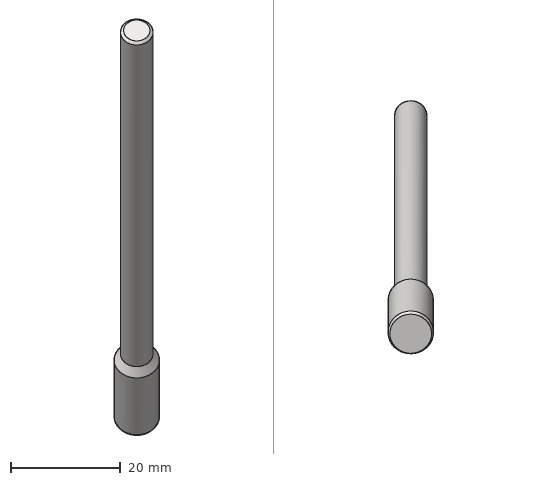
import cadquery as cq

total_length = 117.0
rod_diameter = 6.0
head_diameter = 8.3

head_cylinder_top = 17.8
shoulder_height = 1.9
head_length = head_cylinder_top + shoulder_height
bottom_chamfer_height = 0.7
bottom_chamfer_width = 0.4

tip_chamfer_height = 0.5
tip_chamfer_width = 0.6


def make_head():
    """Revolve the chamfered head, its axis along Z and its base at Z = 0."""
    head_radius = head_diameter / 2
    profile = (
        cq.Workplane("XZ")
        .moveTo(0, 0)
        .lineTo(head_radius - bottom_chamfer_width, 0)
        .lineTo(head_radius, bottom_chamfer_height)
        .lineTo(head_radius, head_cylinder_top)
        .lineTo(rod_diameter / 2, head_length)
        .lineTo(0, head_length)
        .close()
    )
    return profile.revolve(360, (0, 0, 0), (0, 1, 0))


def make_rod():
    """Revolve the rod that stands on the head, with its chamfered free end."""
    rod_radius = rod_diameter / 2
    profile = (
        cq.Workplane("XZ")
        .moveTo(0, head_length)
        .lineTo(rod_radius, head_length)
        .lineTo(rod_radius, total_length - tip_chamfer_height)
        .lineTo(rod_radius - tip_chamfer_width, total_length)
        .lineTo(0, total_length)
        .close()
    )
    return profile.revolve(360, (0, 0, 0), (0, 1, 0))


head = make_head()
rod = make_rod()

result = cq.Compound.makeCompound([head.val(), rod.val()])